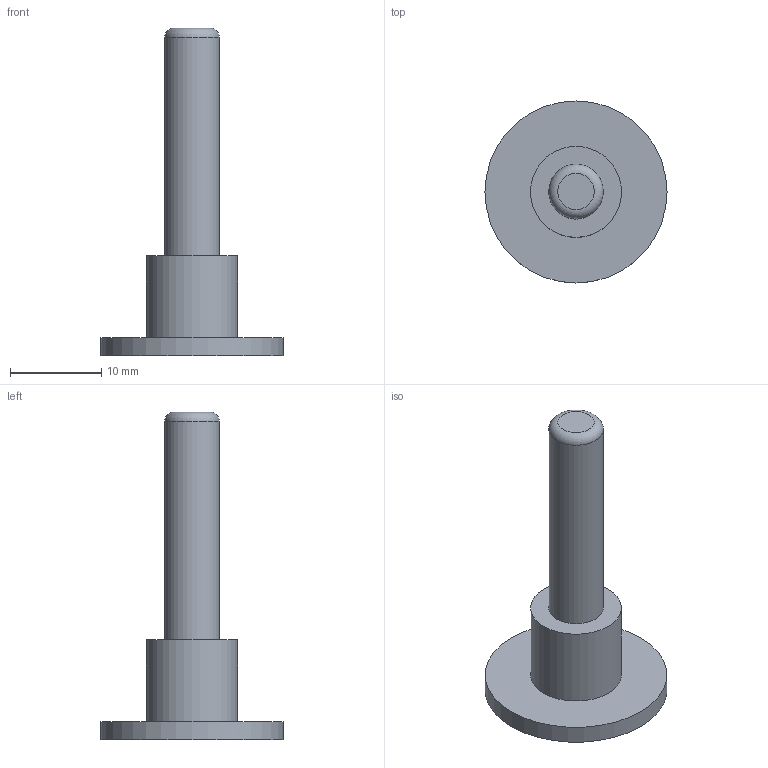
import cadquery as cq

flange_diameter = 20.0
flange_thickness = 2.0
collar_diameter = 10.0
collar_height = 9.0
pin_diameter = 6.0
pin_length = 25.0
pin_tip_radius = 1.0


def make_flange():
    """Flat round base, resting on the XY plane."""
    return cq.Workplane("XY").circle(flange_diameter / 2).extrude(flange_thickness)


def add_collar(body):
    """Shoulder standing on the flange."""
    return body.faces(">Z").workplane().circle(collar_diameter / 2).extrude(collar_height)


def add_pin(body):
    """Slender pin standing on the collar, with a rounded tip edge."""
    pinned = body.faces(">Z").workplane().circle(pin_diameter / 2).extrude(pin_length)
    return pinned.faces(">Z").edges().fillet(pin_tip_radius)


result = add_pin(add_collar(make_flange()))